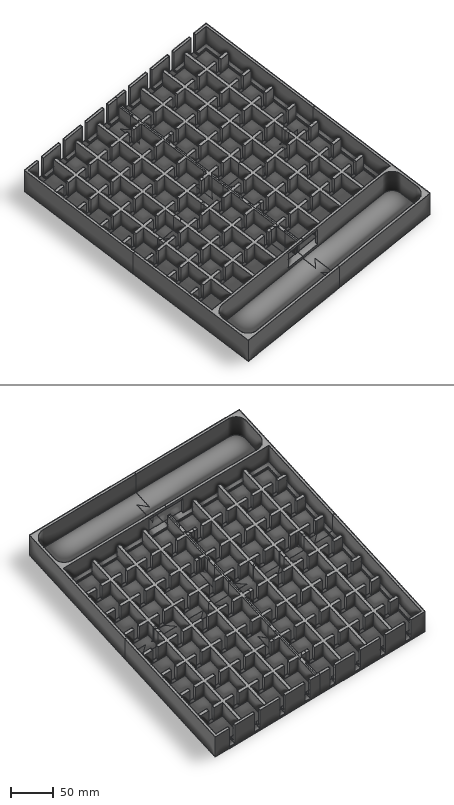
import cadquery as cq
LENGTH = 369.8
WIDTH = 310.0
HEIGHT = 40.0
WALL = 3.5
FLOOR = 3.5
CENTER_Y = WIDTH / 2

GAME_SIDE = WIDTH - 2 * WALL
PARTITION_X = WALL + GAME_SIDE

CELLS = 8
GRID_CENTER_X = 154.5
GRID_SIDE = 293.0
GRID_TOP = 30.0
DIVIDER = 4.0
LEDGE_TOP = 7.8
CELL_PITCH = (GRID_SIDE + DIVIDER) / CELLS
CELL_SIDE = CELL_PITCH - DIVIDER

STRIP_SLOT = 7.8
SLOT_FLOOR = 3.7

STORAGE_X = PARTITION_X + WALL
STORAGE_LENGTH = LENGTH - WALL - STORAGE_X
STORAGE_CORNER = 14.8

WINDOW_WIDTH = 50.0
WINDOW_TOP = 35.0

SEAM_X = 179.7
SEAM_Y = CENTER_Y
TAB_BASE = 9.2
TAB_TIP = 31.0
TAB_DEPTH = 10.0
WIDE_TAB_EXTRA = 4.5
CROSS_TABS = [
    (34.8, 1, 0.0),
    (75.8, -1, 0.0),
    (125.5, 1, 0.0),
    (187.5, -1, WIDE_TAB_EXTRA),
    (229.3, 1, 0.0),
    (275.0, -1, 0.0),
]
LONG_TAB_COUNT = 6
LONG_TAB_PITCH = 60.3
FIRST_LONG_TAB_X = 34.0


def block(x_size, y_size, z_min, z_max, x_center, y_center):
    """Upright box given by its plan size, height range and plan centre."""
    return (
        cq.Workplane("XY")
        .box(x_size, y_size, z_max - z_min, centered=(True, True, False))
        .translate((x_center, y_center, z_min))
    )


def centered_steps(count, pitch):
    """Offsets of evenly spaced features about their common centre."""
    return [(i - (count - 1) / 2) * pitch for i in range(count)]


def game_compartment(tray):
    """Opens the compartment down to the ledge, then adds the grid and its cells."""
    open_top = block(GAME_SIDE, GAME_SIDE, LEDGE_TOP, HEIGHT, WALL + GAME_SIDE / 2, CENTER_Y)
    grid = block(GRID_SIDE, GRID_SIDE, FLOOR, GRID_TOP, GRID_CENTER_X, CENTER_Y)
    cells = (
        cq.Workplane("XY", origin=(GRID_CENTER_X, CENTER_Y, FLOOR))
        .rarray(CELL_PITCH, CELL_PITCH, CELLS, CELLS)
        .rect(CELL_SIDE, CELL_SIDE)
        .extrude(HEIGHT)
    )
    return tray.cut(open_top).union(grid).cut(cells)


def strip_slots(tray):
    """Slots along each row of cells, open at the top and through the -X wall."""
    slot_end = GRID_CENTER_X + GRID_SIDE / 2
    for offset in centered_steps(CELLS, CELL_PITCH):
        slot = block(slot_end, STRIP_SLOT, SLOT_FLOOR, HEIGHT, slot_end / 2, CENTER_Y + offset)
        tray = tray.cut(slot)
    return tray


def storage_compartment(tray):
    """Plain pocket with rounded corners."""
    center_x = STORAGE_X + STORAGE_LENGTH / 2
    pocket = block(STORAGE_LENGTH, GAME_SIDE, FLOOR, HEIGHT, center_x, CENTER_Y)
    return tray.cut(pocket.edges("|Z").fillet(STORAGE_CORNER))


def cable_window(tray):
    """Opening that joins the two compartments."""
    center_x = PARTITION_X + WALL / 2
    window = block(WALL, WINDOW_WIDTH, LEDGE_TOP, WINDOW_TOP, center_x, CENTER_Y)
    return tray.cut(window)


def tab_points(center, side, extra=0.0):
    """Dovetail corners as (distance along the seam, distance across it)."""
    half_base = (TAB_BASE + extra) / 2
    half_tip = (TAB_TIP + extra) / 2
    depth = side * TAB_DEPTH
    return [
        (center - half_base, 0),
        (center - half_tip, depth),
        (center + half_tip, depth),
        (center + half_base, 0),
    ]


def west_region():
    """Everything on the -X side of the seam that crosses the width."""
    seam = []
    for center, side, extra in CROSS_TABS:
        seam += [(SEAM_X + across, along) for along, across in tab_points(center, side, extra)]
    outline = [(0, 0), (SEAM_X, 0), *seam, (SEAM_X, WIDTH), (0, WIDTH)]
    return cq.Workplane("XY").polyline(outline).close().extrude(HEIGHT)


def south_region():
    """Everything on the -Y side of the seam that runs along the length."""
    seam = []
    for i in range(LONG_TAB_COUNT):
        side = 1 if i % 2 else -1
        center = FIRST_LONG_TAB_X + i * LONG_TAB_PITCH
        seam += [(along, SEAM_Y + across) for along, across in tab_points(center, side)]
    outline = [(0, SEAM_Y), *seam, (LENGTH, SEAM_Y), (LENGTH, 0), (0, 0)]
    return cq.Workplane("XY").polyline(outline).close().extrude(HEIGHT)


def whole_tray():
    """The tray before it is divided along the seams."""
    tray = block(LENGTH, WIDTH, 0, HEIGHT, LENGTH / 2, CENTER_Y)
    tray = game_compartment(tray)
    tray = strip_slots(tray)
    tray = storage_compartment(tray)
    return cable_window(tray)


tray = whole_tray()
west_half = tray.intersect(west_region())
east_half = tray.cut(west_region())

south_west_piece = west_half.intersect(south_region())
north_west_piece = west_half.cut(south_region())
south_east_piece = east_half.intersect(south_region())
north_east_piece = east_half.cut(south_region())

result = cq.Compound.makeCompound(
    [
        *south_west_piece.vals(),
        *north_west_piece.vals(),
        *south_east_piece.vals(),
        *north_east_piece.vals(),
    ]
)